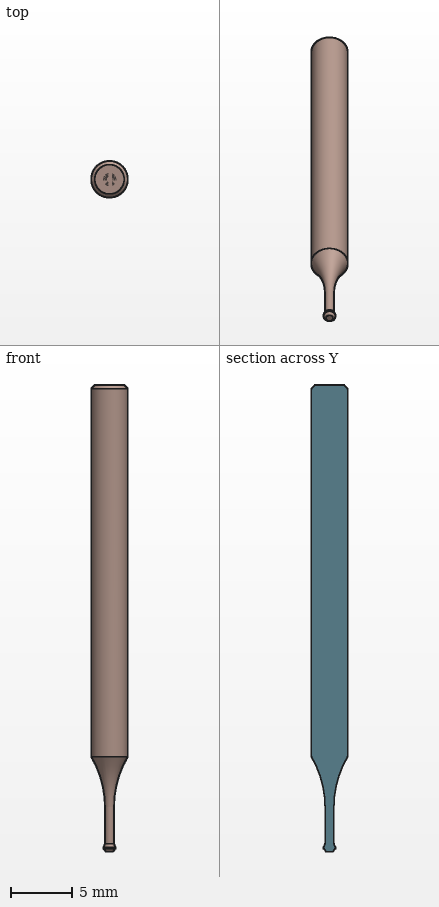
import cadquery as cq
import math

total_length = 38.0
rim_bottom = 0.25
rim_top = 0.38
neck_bottom = 0.65
neck_top = 3.65
shank_bottom = 7.75

shank_radius = 1.5
neck_radius = 0.38
rim_radius = 0.5
tip_radius = 0.285
end_chamfer = 0.3

flare_height = shank_bottom - neck_top
flare_growth = shank_radius - neck_radius
flare_radius = (flare_height**2 + flare_growth**2) / (2 * flare_growth)
half_angle = math.asin(flare_height / flare_radius) / 2
flare_middle = (
    neck_radius + flare_radius * (1 - math.cos(half_angle)),
    neck_top + flare_radius * math.sin(half_angle),
)

profile = (
    cq.Workplane("XZ")
    .lineTo(tip_radius, 0)
    .lineTo(rim_radius, rim_bottom)
    .lineTo(rim_radius, rim_top)
    .lineTo(neck_radius, neck_bottom)
    .lineTo(neck_radius, neck_top)
    .threePointArc(flare_middle, (shank_radius, shank_bottom))
    .lineTo(shank_radius, total_length - end_chamfer)
    .lineTo(shank_radius - end_chamfer, total_length)
    .lineTo(0, total_length)
    .close()
)

result = profile.revolve(360, (0, 0), (0, 1))